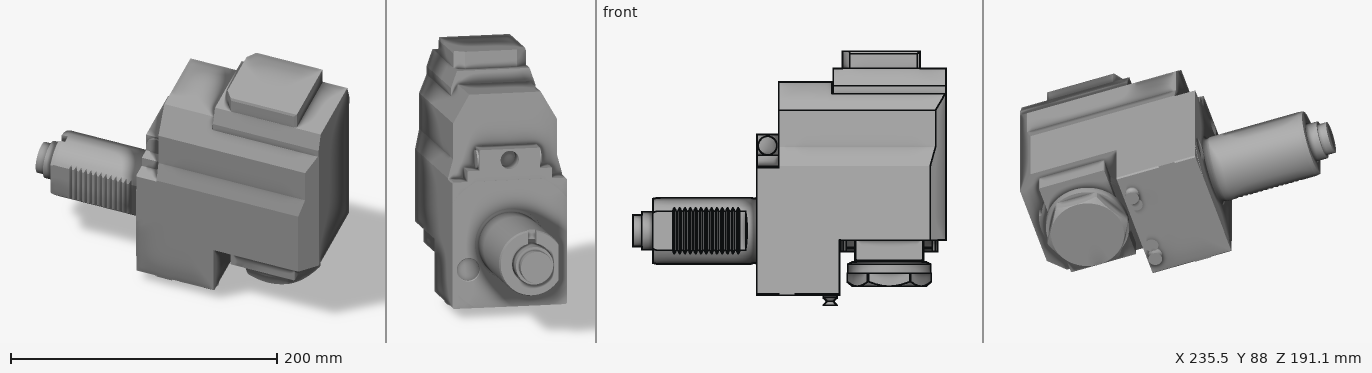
import cadquery as cq
import math


HALF_WIDTH = 44.0
BODY_HALF_HEIGHT = 48.5
HOUSING_END = 142.5
COLUMN_END = 62.5
HEAD_FLOOR = -7.1
LEDGE = 16.5
END_CHAMFER = 12.0
EDGE_CHAMFER = 1.0
SQUARE_EDGE_END = 29.0

WAIST_HALF_WIDTH = 40.0
WAIST_BOTTOM = 63.0
WAIST_TOP = 90.5
ROOF_HALF_WIDTH = 27.5
ROOF_HEIGHT = 112.0

COVER_START = 57.5
COVER_HALF_WIDTH = 32.5
COVER_BOTTOM = 103.0
COVER_BREAK = 109.1
COVER_TOP = 122.0
COVER_TOP_HALF_WIDTH = 28.0
COVER_GAP = 0.8
CAP_START = 64.5
CAP_END = 122.9
CAP_HALF_WIDTH = 27.9
CAP_TOP = 135.0
CAP_FRONT_CHAMFER_X = 5.7
CAP_FRONT_CHAMFER_Y = 7.9
CAP_REAR_CHAMFER_X = 2.0
CAP_REAR_CHAMFER_Y = 0.8
CAP_BEVEL_WIDTH = 0.7
CAP_BEVEL_HEIGHT = 2.0

TAB_WIDE_HALF_WIDTH = 32.4
TAB_SHELF = 56.7
TAB_HALF_WIDTH = 23.3
TAB_TOP = 72.4
TAB_HOLE_DIAMETER = 14.0
TAB_HOLE_HEIGHT = 64.0
TAB_HOLE_DEPTH = 14.0
PLUG_LENGTH = 1.4

PAD_DIAMETER = 110.0
PAD_HEIGHT = 0.2
PORT_DIAMETER = 17.0
PORT_DEPTH = 2.0
PORT_CHAMFER = 0.5
PORT_Y = 31.8
PORT_Z = -18.9

SHANK_DIAMETER = 50.0
SHANK_LENGTH = 78.0
SHANK_CHAMFER = 0.7
SHANK_CHAMFER_LENGTH = 3.0
NECK_TAPER_START = -4.4
NECK_TAPER_END = -2.2
ROOT_FILLET_START = -1.5
ROOT_FILLET = 2.5
FLAT_Y = -20.2
FLAT_END = -8.3
FLAT_END_SLOPE = 1.3
TOOTH_COUNT = 13
TOOTH_PITCH = 4.0
FIRST_TOOTH = -61.8
TOOTH_DEPTH = 2.2
TOOTH_ANGLE = 60.0
KEY_SLOT_WIDTH = 6.4
KEY_SLOT_DEPTH = 5.3

ROOT_RECESS_DIAMETER = SHANK_DIAMETER - 2 * SHANK_CHAMFER + 2 * ROOT_FILLET
ROOT_RECESS_DEPTH = ROOT_FILLET_START + ROOT_FILLET

STUB_DIAMETER = 28.8
STUB_STEP = -86.3
STUB_TIP_DIAMETER = 24.0
STUB_TIP = -93.0
MOUTH_DIAMETER = 31.0
MOUTH_LENGTH = 4.0
CAVITY_DIAMETER = 36.0
CAVITY_END = -68.0

SPINDLE_X = 99.7
SEAT_WIDTH = 51.6
SEAT_HALF_LENGTH = 38.7
SEAT_CHAMFER = 0.6
SEAT_BOTTOM = -22.1
FLANGE_BOTTOM = -15.6
FLANGE_DIAMETER = 69.2
FLANGE_GROOVE_TOP = -12.3
FLANGE_GROOVE_BOTTOM = -13.5
FLANGE_GROOVE_DEPTH = 1.0
EARS_DIAMETER = 73.2
EARS_WIDTH = 24.0

NOSE_DIAMETER = 49.2
NOSE_BOTTOM = -23.3
NUT_SHOULDER_DIAMETER = 55.0
NUT_DIAMETER = 62.6
NUT_CONE_BOTTOM = -25.2
HEX_TOP = -31.8
HEX_BOTTOM = -41.8
HEX_CIRCUMDIAMETER = 64.0
HEX_TURNED_DIAMETER = 63.3
HEX_END_DIAMETER = 55.0
HEX_CHAMFER_ANGLE = 40.0

NOZZLE_X = 55.3
NOZZLE_DIAMETER = 10.4
NOZZLE_NECK_DIAMETER = 5.0
NOZZLE_CONE_HEIGHT = 3.0
OUTER_NOZZLE_Y = 28.0
OUTER_NOZZLE_BOTTOM = -56.05
INNER_NOZZLE_Y = 18.8
INNER_NOZZLE_BOTTOM = -50.8
NOZZLE_ROOT = -44.0


def box(x_range, y_range, z_range):
    """Block between the given limits."""
    size = [high - low for low, high in (x_range, y_range, z_range)]
    corner = (x_range[0], y_range[0], z_range[0])
    return cq.Workplane("XY").box(*size, centered=False).translate(corner)


def x_cylinder(diameter, x_start, x_end, y=0.0, z=0.0):
    """Cylinder parallel to X."""
    plane = cq.Workplane("YZ", origin=(x_start, y, z))
    return plane.circle(diameter / 2).extrude(x_end - x_start)


def z_cylinder(diameter, x, y, z_top, z_bottom):
    """Cylinder parallel to Z."""
    plane = cq.Workplane("XY", origin=(x, y, z_bottom))
    return plane.circle(diameter / 2).extrude(z_top - z_bottom)


def mirrored_prism(right_half, x_start, x_end):
    """Prism along X from one half of a (Y, Z) outline, mirrored about Y = 0."""
    left_half = [(-y, z) for y, z in reversed(right_half)]
    plane = cq.Workplane("YZ", origin=(x_start, 0, 0))
    return plane.polyline(right_half + left_half).close().extrude(x_end - x_start)


def turned_about_z(profile, x, y):
    """Solid of revolution from a closed (radius, Z) outline."""
    outline = cq.Workplane("XZ").polyline(profile).close()
    return outline.revolve(360, (0, 0, 0), (0, 1, 0)).translate((x, y, 0))


def make_body():
    """Chamfered lower column, square-edged along one stretch, and tapered head with cut far corners."""
    width = (-HALF_WIDTH, HALF_WIDTH)
    column = box((PAD_HEIGHT, COLUMN_END), width, (-BODY_HALF_HEIGHT, BODY_HALF_HEIGHT))
    column = column.edges("|X").chamfer(EDGE_CHAMFER)
    column = column.union(box((LEDGE, SQUARE_EDGE_END), width, (-BODY_HALF_HEIGHT, 0)))
    head = mirrored_prism(
        [
            (HALF_WIDTH, HEAD_FLOOR),
            (HALF_WIDTH, BODY_HALF_HEIGHT),
            (WAIST_HALF_WIDTH, WAIST_BOTTOM),
            (WAIST_HALF_WIDTH, WAIST_TOP),
            (ROOF_HALF_WIDTH, ROOF_HEIGHT),
        ],
        LEDGE,
        HOUSING_END,
    )
    inner_width = HALF_WIDTH - END_CHAMFER
    for side in (-1, 1):
        corner = cq.Workplane("XY", origin=(0, 0, HEAD_FLOOR)).polyline(
            [
                (HOUSING_END - END_CHAMFER, side * HALF_WIDTH),
                (HOUSING_END, side * HALF_WIDTH),
                (HOUSING_END, side * inner_width),
            ]
        )
        head = head.cut(corner.close().extrude(ROOF_HEIGHT - HEAD_FLOOR))
    return column.union(head)


def add_cover(body):
    """Cover plate let into the roof behind a narrow gap."""
    gap_start = COVER_START - COVER_GAP
    width = (-HALF_WIDTH, HALF_WIDTH)
    body = body.cut(box((gap_start, HOUSING_END), width, (COVER_BOTTOM, ROOF_HEIGHT)))
    cover = mirrored_prism(
        [
            (COVER_HALF_WIDTH, COVER_BOTTOM),
            (COVER_HALF_WIDTH, COVER_BREAK),
            (COVER_TOP_HALF_WIDTH, COVER_TOP),
        ],
        COVER_START,
        HOUSING_END,
    )
    return body.union(cover)


def make_cap():
    """Raised cap with cut corners and two bevelled long top edges."""
    front_y = CAP_HALF_WIDTH - CAP_FRONT_CHAMFER_Y
    rear_y = CAP_HALF_WIDTH - CAP_REAR_CHAMFER_Y
    upper = [
        (CAP_START, front_y),
        (CAP_START + CAP_FRONT_CHAMFER_X, CAP_HALF_WIDTH),
        (CAP_END - CAP_REAR_CHAMFER_X, CAP_HALF_WIDTH),
        (CAP_END, rear_y),
    ]
    lower = [(x, -y) for x, y in reversed(upper)]
    plan = cq.Workplane("XY", origin=(0, 0, COVER_TOP)).polyline(upper + lower).close()
    side_limits = mirrored_prism(
        [
            (CAP_HALF_WIDTH, COVER_TOP),
            (CAP_HALF_WIDTH, CAP_TOP - CAP_BEVEL_HEIGHT),
            (CAP_HALF_WIDTH - CAP_BEVEL_WIDTH, CAP_TOP),
        ],
        CAP_START,
        CAP_END,
    )
    return plan.extrude(CAP_TOP - COVER_TOP).intersect(side_limits)


def make_tab():
    """Stepped tab with a blind hole in its face and a plug on each side."""
    tab = mirrored_prism(
        [
            (TAB_WIDE_HALF_WIDTH, BODY_HALF_HEIGHT),
            (TAB_WIDE_HALF_WIDTH, TAB_SHELF),
            (TAB_HALF_WIDTH, TAB_SHELF),
            (TAB_HALF_WIDTH, TAB_TOP),
        ],
        PAD_HEIGHT,
        LEDGE,
    )
    plug_reach = TAB_HALF_WIDTH + PLUG_LENGTH
    plug_plane = cq.Workplane("XZ", origin=(LEDGE / 2, 0, TAB_HOLE_HEIGHT))
    plugs = plug_plane.circle(TAB_HOLE_DIAMETER / 2).extrude(plug_reach, both=True)
    hole = x_cylinder(TAB_HOLE_DIAMETER, 0, TAB_HOLE_DEPTH, z=TAB_HOLE_HEIGHT)
    return tab.union(plugs).cut(hole)


def add_mounting_face(body):
    """Raised round pad, recess around the shank root and chamfered coolant port."""
    pad = x_cylinder(PAD_DIAMETER, 0, PAD_HEIGHT).intersect(
        box(
            (0, PAD_HEIGHT),
            (-HALF_WIDTH, HALF_WIDTH),
            (-BODY_HALF_HEIGHT, BODY_HALF_HEIGHT),
        )
    )
    body = body.union(pad)
    port_profile = [
        (0, 0),
        (PORT_DIAMETER / 2 + PORT_CHAMFER, 0),
        (PORT_DIAMETER / 2, PORT_CHAMFER),
        (PORT_DIAMETER / 2, PORT_DEPTH),
        (0, PORT_DEPTH),
    ]
    port = turned_about_z(port_profile, 0, 0).rotate((0, 0, 0), (0, 1, 0), 90)
    recess = x_cylinder(ROOT_RECESS_DIAMETER, 0, ROOT_RECESS_DEPTH)
    return body.cut(recess).cut(port.translate((0, PORT_Y, PORT_Z)))


def make_shank():
    """Toothed shank with a key slot, an open end and the drive stub in it."""
    radius = SHANK_DIAMETER / 2
    small_radius = radius - SHANK_CHAMFER
    arc_offset = ROOT_FILLET * math.sqrt(0.5)
    outline = cq.Workplane("XY").moveTo(-SHANK_LENGTH, 0).lineTo(-SHANK_LENGTH, small_radius)
    outline = outline.lineTo(SHANK_CHAMFER_LENGTH - SHANK_LENGTH, radius)
    outline = outline.lineTo(NECK_TAPER_START, radius).lineTo(NECK_TAPER_END, small_radius)
    outline = outline.lineTo(ROOT_FILLET_START, small_radius)
    outline = outline.threePointArc(
        (ROOT_FILLET_START + arc_offset, small_radius + ROOT_FILLET - arc_offset),
        (ROOT_RECESS_DEPTH, small_radius + ROOT_FILLET),
    )
    shank = outline.lineTo(ROOT_RECESS_DEPTH, 0).close().revolve(360, (0, 0, 0), (1, 0, 0))

    flat = cq.Workplane("XY", origin=(0, 0, -radius)).polyline(
        [
            (-SHANK_LENGTH, FLAT_Y),
            (FLAT_END, FLAT_Y),
            (FLAT_END + FLAT_END_SLOPE, -radius),
            (-SHANK_LENGTH, -radius),
        ]
    )
    shank = shank.cut(flat.close().extrude(2 * radius))

    half_tooth = TOOTH_DEPTH * math.tan(math.radians(TOOTH_ANGLE / 2))
    for index in range(TOOTH_COUNT):
        x = FIRST_TOOTH + index * TOOTH_PITCH
        groove = cq.Workplane("XY", origin=(x, FLAT_Y, -radius)).polyline(
            [(-half_tooth, 0), (0, TOOTH_DEPTH), (half_tooth, 0)]
        )
        shank = shank.cut(groove.close().extrude(2 * radius))

    mouth_end = MOUTH_LENGTH - SHANK_LENGTH
    shank = shank.cut(x_cylinder(MOUTH_DIAMETER, -SHANK_LENGTH, mouth_end))
    shank = shank.cut(x_cylinder(CAVITY_DIAMETER, mouth_end, CAVITY_END))
    slot_half = KEY_SLOT_WIDTH / 2
    slot_end = KEY_SLOT_DEPTH - SHANK_LENGTH
    shank = shank.cut(box((-SHANK_LENGTH, slot_end), (-slot_half, slot_half), (0, radius)))

    stub = x_cylinder(STUB_DIAMETER, STUB_STEP, CAVITY_END)
    tip = x_cylinder(STUB_TIP_DIAMETER, STUB_TIP, STUB_STEP)
    return shank.union(stub).union(tip)


def make_bearing_seat():
    """Flat-sided seat, round grooved flange and two ears under the head."""
    half_length = (-SEAT_HALF_LENGTH, SEAT_HALF_LENGTH)
    half_seat = SEAT_WIDTH / 2
    seat = box(
        (SPINDLE_X - half_seat, SPINDLE_X + half_seat),
        half_length,
        (SEAT_BOTTOM, HEAD_FLOOR),
    )
    seat = seat.edges("|Z").chamfer(SEAT_CHAMFER)
    radius = FLANGE_DIAMETER / 2
    groove_radius = radius - FLANGE_GROOVE_DEPTH
    flange = turned_about_z(
        [
            (0, HEAD_FLOOR),
            (radius, HEAD_FLOOR),
            (radius, FLANGE_GROOVE_TOP),
            (groove_radius, FLANGE_GROOVE_TOP),
            (groove_radius, FLANGE_GROOVE_BOTTOM),
            (radius, FLANGE_GROOVE_BOTTOM),
            (radius, FLANGE_BOTTOM),
            (0, FLANGE_BOTTOM),
        ],
        SPINDLE_X,
        0,
    )
    half_ears = EARS_WIDTH / 2
    ears = z_cylinder(EARS_DIAMETER, SPINDLE_X, 0, HEAD_FLOOR, FLANGE_BOTTOM).intersect(
        box(
            (SPINDLE_X - EARS_DIAMETER, SPINDLE_X + EARS_DIAMETER),
            (-half_ears, half_ears),
            (FLANGE_BOTTOM, HEAD_FLOOR),
        )
    )
    return seat.union(flange).union(ears)


def make_nozzle(y, bottom):
    """Double-cone nozzle: narrows to a neck, then flares to its mouth."""
    neck_radius = NOZZLE_NECK_DIAMETER / 2
    mouth_radius = NOZZLE_DIAMETER / 2
    neck = bottom + NOZZLE_CONE_HEIGHT
    shoulder = neck + NOZZLE_CONE_HEIGHT
    return turned_about_z(
        [
            (0, bottom),
            (mouth_radius, bottom),
            (neck_radius, neck),
            (mouth_radius, shoulder),
            (mouth_radius, NOZZLE_ROOT),
            (0, NOZZLE_ROOT),
        ],
        NOZZLE_X,
        y,
    )


def make_housing():
    """Housing with its shank, cover, seat and nozzles as one solid."""
    body = add_mounting_face(add_cover(make_body()).union(make_tab()))
    body = body.union(make_cap()).union(make_shank()).union(make_bearing_seat())
    for side in (-1, 1):
        body = body.union(make_nozzle(side * OUTER_NOZZLE_Y, OUTER_NOZZLE_BOTTOM))
        body = body.union(make_nozzle(side * INNER_NOZZLE_Y, INNER_NOZZLE_BOTTOM))
    return body


def make_spindle():
    """Spindle nose with its hexagonal clamping nut, seated under the housing."""
    nut_radius = NUT_DIAMETER / 2
    collar = turned_about_z(
        [
            (0, SEAT_BOTTOM),
            (NOSE_DIAMETER / 2, SEAT_BOTTOM),
            (NOSE_DIAMETER / 2, NOSE_BOTTOM),
            (NUT_SHOULDER_DIAMETER / 2, NOSE_BOTTOM),
            (nut_radius, NUT_CONE_BOTTOM),
            (nut_radius, HEX_TOP),
            (0, HEX_TOP),
        ],
        SPINDLE_X,
        0,
    )
    hexagon = cq.Workplane("XY", origin=(SPINDLE_X, 0, HEX_BOTTOM))
    hexagon = hexagon.polygon(6, HEX_CIRCUMDIAMETER).extrude(HEX_TOP - HEX_BOTTOM)
    corner_radius = HEX_TURNED_DIAMETER / 2
    end_radius = HEX_END_DIAMETER / 2
    chamfer_height = (corner_radius - end_radius) * math.tan(math.radians(HEX_CHAMFER_ANGLE))
    corner_limit = turned_about_z(
        [
            (0, HEX_BOTTOM),
            (end_radius, HEX_BOTTOM),
            (corner_radius, HEX_BOTTOM + chamfer_height),
            (corner_radius, HEX_TOP),
            (0, HEX_TOP),
        ],
        SPINDLE_X,
        0,
    )
    return collar.union(hexagon.intersect(corner_limit))


housing = make_housing()
spindle = make_spindle()
result = cq.Compound.makeCompound([housing.val(), spindle.val()])